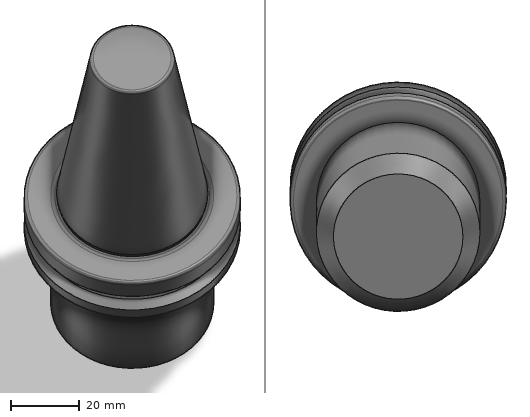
import cadquery as cq
import math


gauge_diameter = 44.45
taper_ratio = 7 / 24
taper_length = 68.25
taper_tip_radius = 1.0

neck_diameter = 43.85
neck_lead_in = (gauge_diameter - neck_diameter) / 2
relief_width = 2.0
relief_diameter = neck_diameter + 2 * relief_width
relief_floor_diameter = 45.4
relief_angle = math.radians(15.0)

flange_diameter = 63.5
flange_top = -1.0
flange_bottom = -19.05
relief_depth = (relief_diameter - relief_floor_diameter) / 2 * math.tan(relief_angle)
relief_floor = flange_top - relief_depth
flange_edge_radius = 1.0
groove_diameter = 56.0
groove_center = -11.12
groove_floor_width = 3.75
groove_mouth_width = 6.9
groove_flank_angle = math.radians(30.0)

body_diameter = 48.0
body_bottom = -60.0
body_chamfer = 5.0


def revolve_profile(points):
    """Revolve a closed (radius, height) outline about the tool axis."""
    return cq.Workplane("XZ").polyline(points).close().revolve(360, (0, 0, 0), (0, 1, 0))


def cylinder(diameter, bottom, top):
    """Cylinder on the tool axis between two heights."""
    return cq.Workplane("XY").workplane(offset=bottom).circle(diameter / 2).extrude(top - bottom)


def make_taper():
    """Taper shank with a rounded tip and a short lead-in down to the neck."""
    gauge_radius = gauge_diameter / 2
    tip_radius = (gauge_diameter - taper_length * taper_ratio) / 2
    taper = revolve_profile([
        (0, -neck_lead_in),
        (neck_diameter / 2, -neck_lead_in),
        (gauge_radius, 0),
        (tip_radius, taper_length),
        (0, taper_length),
    ])
    return taper.faces(">Z").fillet(taper_tip_radius)


def make_groove():
    """Ring that cuts the gripper groove, with sloped flanks and a flat floor."""
    floor_half = groove_floor_width / 2
    mouth_half = groove_mouth_width / 2
    rim_radius = flange_diameter / 2
    floor_radius = groove_diameter / 2
    flank_depth = (mouth_half - floor_half) / math.tan(groove_flank_angle)
    flank_radius = rim_radius - flank_depth
    return revolve_profile([
        (floor_radius, groove_center - floor_half),
        (flank_radius, groove_center - floor_half),
        (rim_radius, groove_center - mouth_half),
        (rim_radius, groove_center + mouth_half),
        (flank_radius, groove_center + floor_half),
        (floor_radius, groove_center + floor_half),
    ])


def make_relief():
    """Conical recess with a flat floor in the flange top."""
    return revolve_profile([
        (0, relief_floor),
        (relief_floor_diameter / 2, relief_floor),
        (relief_diameter / 2, flange_top),
        (0, flange_top),
    ])


def make_flange():
    """Round-edged flange with the gripper groove and the neck relief."""
    flange = cylinder(flange_diameter, flange_bottom, flange_top)
    flange = flange.faces("<Z or >Z").fillet(flange_edge_radius)
    return flange.cut(make_groove()).cut(make_relief())


def make_body():
    """Cylindrical tool body with a chamfered front end."""
    return cylinder(body_diameter, body_bottom, flange_bottom).faces("<Z").chamfer(body_chamfer)


neck = cylinder(neck_diameter, relief_floor, -neck_lead_in)
result = make_taper().union(neck).union(make_flange()).union(make_body())